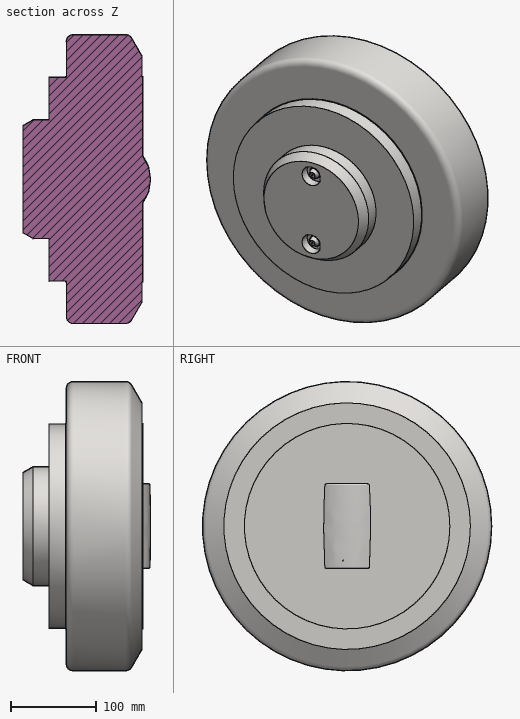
import cadquery as cq
import math

hub_start = 30.5
core_start = 50.3
wheel_start = 51.0
wheel_end = 140.0
core_end = 141.0
roller_top = 150.3

wheel_radius = 170.0
rim_fillet = 8.0
taper_angle = math.radians(60)
taper_end_radius = 145.0

hub_radius = 240.5 / 2
core_radius = 241.5 / 2
cap_radius = 140.0 / 2
cap_chamfer_length = 12.2
cap_chamfer_angle = math.radians(30)

roller_radius = 46.0
roller_half_length = 50.0
roller_crown = 0.85
roller_fillet = 2.0

nipple_offset = 45.0
recess_diameter = 24.0
recess_depth = 12.5
hex_flats = 13.0
hex_height = 4.0
head_diameter = 7.0
head_face_diameter = 6.5
head_depth = 2.5
head_chamfer_length = 0.5
bore_diameter = 1.5
bore_length = 3.5


def disc(start, end, radius):
    """Plain round disc on the X axis."""
    return cq.Workplane("YZ").workplane(offset=start).circle(radius).extrude(end - start)


def make_wheel():
    """Wheel rim with one rounded edge and one edge rounded into a taper."""
    taper_slope = math.tan(taper_angle)
    arc_end_radius = wheel_radius - rim_fillet * (1 - math.cos(taper_angle))
    arc_end = wheel_end - (arc_end_radius - taper_end_radius) / taper_slope
    arc_start = arc_end - rim_fillet * math.sin(taper_angle)
    half_angle = taper_angle / 2
    arc_middle = (
        arc_start + rim_fillet * math.sin(half_angle),
        wheel_radius - rim_fillet * (1 - math.cos(half_angle)),
    )
    fillet_middle = rim_fillet * (1 - math.sqrt(0.5))
    return (
        cq.Workplane("XY")
        .moveTo(wheel_start, 0)
        .lineTo(wheel_start, wheel_radius - rim_fillet)
        .threePointArc(
            (wheel_start + fillet_middle, wheel_radius - fillet_middle),
            (wheel_start + rim_fillet, wheel_radius),
        )
        .lineTo(arc_start, wheel_radius)
        .threePointArc(arc_middle, (arc_end, arc_end_radius))
        .lineTo(wheel_end, taper_end_radius)
        .lineTo(wheel_end, 0)
        .close()
        .revolve(360, (0, 0, 0), (1, 0, 0))
    )


def make_cap():
    """Round cap with a shallow conical chamfer at its outer face."""
    face_radius = cap_radius - cap_chamfer_length * math.tan(cap_chamfer_angle)
    return (
        cq.Workplane("XY")
        .polyline([
            (0, 0),
            (0, face_radius),
            (cap_chamfer_length, cap_radius),
            (hub_start, cap_radius),
            (hub_start, 0),
        ])
        .close()
        .revolve(360, (0, 0, 0), (1, 0, 0))
    )


def make_roller():
    """Barrel roller whose crest stands proud of the core face."""
    end_radius = roller_radius - roller_crown
    barrel = (
        cq.Workplane("XZ")
        .moveTo(0, -roller_half_length)
        .lineTo(end_radius, -roller_half_length)
        .threePointArc((roller_radius, 0), (end_radius, roller_half_length))
        .lineTo(0, roller_half_length)
        .close()
        .revolve(360, (0, 0, 0), (0, 1, 0))
        .faces("<Z or >Z")
        .edges()
        .fillet(roller_fillet)
    )
    return barrel.translate((roller_top - roller_radius, 0, 0))


def make_nipple(turn):
    """Grease nipple on the X axis: hexagon, cone, chamfered flat head and bore."""
    hex_corners = hex_flats / math.cos(math.pi / 6)
    hexagon = (
        cq.Workplane("YZ")
        .workplane(offset=recess_depth - hex_height)
        .polygon(6, hex_corners)
        .extrude(hex_height)
        .rotate((0, 0, 0), (1, 0, 0), turn)
    )
    stem = (
        cq.Workplane("XY")
        .polyline([
            (recess_depth, 0),
            (recess_depth, hex_flats / 2),
            (recess_depth - hex_height, hex_flats / 2),
            (head_depth + head_chamfer_length, head_diameter / 2),
            (head_depth, head_face_diameter / 2),
            (head_depth, 0),
        ])
        .close()
        .revolve(360, (0, 0, 0), (1, 0, 0))
    )
    bore = disc(head_depth, head_depth + bore_length, bore_diameter / 2)
    return hexagon.union(stem).cut(bore)


result = (
    make_wheel()
    .union(disc(hub_start, core_start, hub_radius))
    .union(disc(core_start, core_end, core_radius))
    .union(make_cap())
    .union(make_roller())
)

for height, turn in ((nipple_offset, 30), (-nipple_offset, 0)):
    recess = disc(0, recess_depth, recess_diameter / 2)
    result = result.cut(recess.translate((0, 0, height)))
    result = result.union(make_nipple(turn).translate((0, 0, height)))